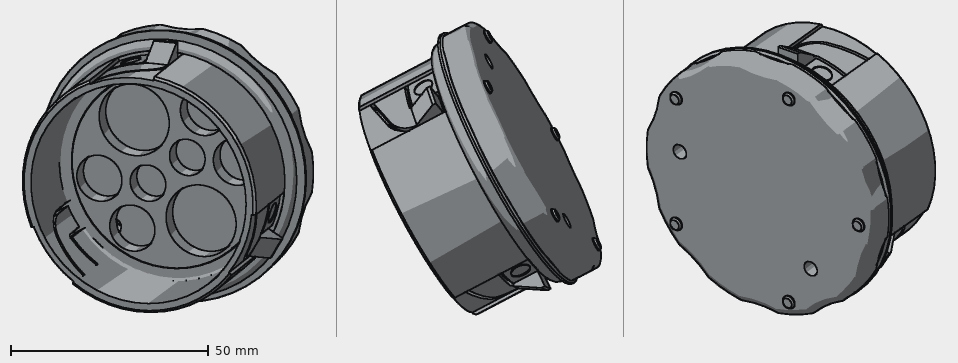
import cadquery as cq
import math

AXIS_START = (0, 0, 0)
AXIS_END = (0, 1, 0)
FULL_TURN = 360

TUBE_OUTER_RADIUS = 31.4
TUBE_INNER_RADIUS = 28.9
TUBE_END_CHAMFER = 0.65
SEAT_Y = 22.0
SEAT_FILLET = 0.7
FLANGE_Y = 25.7
FLANGE_RADIUS = 35.7
FLANGE_RIM = 0.65
FLANGE_TOP_RADIUS = 35.0
CAP_Y = 27.0

RING_SECTION_RADIUS = 1.8
RING_RADIUS = 32.1
RING_Y = FLANGE_Y - RING_SECTION_RADIUS

LATCH_COUNT = 3
RECESS_RADIUS = 30.5
RECESS_START_ANGLE = 82.5
RECESS_END_ANGLE = 115.1
SLOT_WIDTH = 0.9
SLOT_END_X = RECESS_RADIUS * math.cos(math.radians(RECESS_END_ANGLE))
HOOK_WIDTH = 6.1
HOOK_HALF_WIDTH = HOOK_WIDTH / 2
WINDOW_HALF_WIDTH = HOOK_HALF_WIDTH + SLOT_WIDTH
HOOK_BASE_Y = 13.6
HOOK_FLAT_Y = 20.05
HOOK_END_Y = 21.0
HOOK_TOP_Z = 34.4
HOOK_ROOT_Z = 29.3
STEP_SLOT_Y = 13.15
STEP_SLOT_FILLET = 0.85
BEND_START_Y = 14.0
BEND_RADIUS = 7.0
ARM_SLOPE = math.radians(16.4)
CUT_START_Z = 21.4
CUT_HEIGHT = 14.3
DIMPLE_X = -8.5
DIMPLE_Y = 18.05
DIMPLE_RADIUS = 2.6
DIMPLE_DEPTH = 0.3

DISC_RADIUS = 25.7
DISC_CLEARANCE = 0.15
LARGE_HOLE_RADIUS = 9.4
MEDIUM_HOLE_RADIUS = 6.1
SMALL_HOLE_RADIUS = 4.8
CABLE_HOLES = [
    (9.0, -12.4, LARGE_HOLE_RADIUS),
    (9.5, 16.2, MEDIUM_HOLE_RADIUS),
    (18.35, 3.9, MEDIUM_HOLE_RADIUS),
    (5.3, 3.9, SMALL_HOLE_RADIUS),
]

CAP_TOP_Y = 34.1
CAP_RADIUS = 35.5
CAP_TOP_FILLET = 2.0
FLUTE_COUNT = 10
FLUTE_HALF_ANGLE = 9.1
FLUTE_FLOOR_RADIUS = 34.5
FLUTE_EDGE_FILLET = 1.8
PIP_COUNT = 5
PIP_CIRCLE_RADIUS = 31.2
PIP_RADIUS = 1.8
PIP_TOP_Y = 35.0
PIP_CHAMFER_HEIGHT = 0.6
PIP_CHAMFER_WIDTH = 0.4
VENT_RADIUS = 2.0
VENTS = [(24.2, 3.0), (-16.3, -17.8)]


def turned(shape, angle):
    """Turn a shape about the part axis."""
    return shape.rotate(AXIS_START, AXIS_END, angle)


def cylinder(x, z, radius, start_y, end_y):
    """A cylinder parallel to the part axis."""
    return (
        cq.Workplane("XZ", origin=(x, end_y, z))
        .circle(radius)
        .extrude(end_y - start_y)
    )


def make_sealing_ring():
    return (
        cq.Workplane("XY")
        .center(RING_RADIUS, RING_Y)
        .circle(RING_SECTION_RADIUS)
        .revolve(FULL_TURN, (-RING_RADIUS, 0), (-RING_RADIUS, 1))
    )


def make_tube_shell():
    """Tube, inner seat and flange as one turned profile."""
    seat_inner_radius = DISC_RADIUS + DISC_CLEARANCE
    fillet_reach = SEAT_FILLET * math.sqrt(0.5)
    fillet_centre = (TUBE_INNER_RADIUS - SEAT_FILLET, SEAT_Y - SEAT_FILLET)
    return (
        cq.Workplane("XY")
        .moveTo(TUBE_INNER_RADIUS, 0)
        .lineTo(TUBE_OUTER_RADIUS - TUBE_END_CHAMFER, 0)
        .lineTo(TUBE_OUTER_RADIUS, TUBE_END_CHAMFER)
        .lineTo(TUBE_OUTER_RADIUS, FLANGE_Y)
        .lineTo(FLANGE_RADIUS, FLANGE_Y)
        .lineTo(FLANGE_RADIUS, FLANGE_Y + FLANGE_RIM)
        .lineTo(FLANGE_TOP_RADIUS, CAP_Y)
        .lineTo(seat_inner_radius, CAP_Y)
        .lineTo(seat_inner_radius, SEAT_Y)
        .lineTo(TUBE_INNER_RADIUS - SEAT_FILLET, SEAT_Y)
        .threePointArc(
            (fillet_centre[0] + fillet_reach, fillet_centre[1] + fillet_reach),
            (TUBE_INNER_RADIUS, SEAT_Y - SEAT_FILLET),
        )
        .close()
        .revolve(FULL_TURN, AXIS_START, AXIS_END)
    )


def make_latch_recess():
    """Shallow sector taken off the outside of the tube."""
    sector = (
        cq.Workplane("XY")
        .moveTo(RECESS_RADIUS, 0)
        .rect(TUBE_OUTER_RADIUS, SEAT_Y, centered=False)
        .revolve(RECESS_END_ANGLE - RECESS_START_ANGLE, AXIS_START, AXIS_END)
    )
    return turned(sector, -RECESS_END_ANGLE)


def box_cut(x_start, x_end, y_start, y_end):
    """Rectangular cut through the tube wall at the top latch."""
    return (
        cq.Workplane("XY", origin=(x_start, y_start, CUT_START_Z))
        .rect(x_end - x_start, y_end - y_start, centered=False)
        .extrude(CUT_HEIGHT)
    )


def make_arm_slot():
    """Slot along the hook that bends away into the sloping edge of the spring arm."""
    centre_x = HOOK_HALF_WIDTH - BEND_RADIUS
    outer_radius = BEND_RADIUS + SLOT_WIDTH
    mid_angle = ARM_SLOPE / 2 - math.pi / 4

    def on_bend(radius, angle):
        return (centre_x + radius * math.cos(angle), BEND_START_Y + radius * math.sin(angle))

    def at_slot_end(bend_end):
        return (SLOT_END_X, bend_end[1] - (bend_end[0] - SLOT_END_X) * math.tan(ARM_SLOPE))

    bend_angle = ARM_SLOPE - math.pi / 2
    inner_end = on_bend(BEND_RADIUS, bend_angle)
    outer_end = on_bend(outer_radius, bend_angle)
    return (
        cq.Workplane("XY", origin=(0, 0, CUT_START_Z))
        .moveTo(HOOK_HALF_WIDTH, SEAT_Y)
        .lineTo(HOOK_HALF_WIDTH, BEND_START_Y)
        .threePointArc(on_bend(BEND_RADIUS, mid_angle), inner_end)
        .lineTo(*at_slot_end(inner_end))
        .lineTo(*at_slot_end(outer_end))
        .lineTo(*outer_end)
        .threePointArc(on_bend(outer_radius, mid_angle), (WINDOW_HALF_WIDTH, BEND_START_Y))
        .lineTo(WINDOW_HALF_WIDTH, SEAT_Y)
        .close()
        .extrude(CUT_HEIGHT)
    )


def make_latch_cuts():
    """Openings that free the hook and its spring arm from the tube wall."""
    window = box_cut(-WINDOW_HALF_WIDTH, WINDOW_HALF_WIDTH, HOOK_END_Y, SEAT_Y)
    side_slot = box_cut(-WINDOW_HALF_WIDTH, -HOOK_HALF_WIDTH, STEP_SLOT_Y, SEAT_Y)
    step_slot = box_cut(SLOT_END_X, -HOOK_HALF_WIDTH, STEP_SLOT_Y, STEP_SLOT_Y + SLOT_WIDTH)
    corner = cq.selectors.NearestToPointSelector(
        (-HOOK_HALF_WIDTH, STEP_SLOT_Y, CUT_START_Z + CUT_HEIGHT / 2)
    )
    step = side_slot.union(step_slot).edges(corner).fillet(STEP_SLOT_FILLET)
    return window.union(step).union(make_arm_slot())


def make_dimple():
    """Shallow round dimple whose floor follows the recess."""
    post = (
        cq.Workplane("XY", origin=(DIMPLE_X, DIMPLE_Y, CUT_START_Z))
        .circle(DIMPLE_RADIUS)
        .extrude(CUT_HEIGHT)
    )
    return post.cut(cylinder(0, 0, RECESS_RADIUS - DIMPLE_DEPTH, 0, SEAT_Y))


def make_hook():
    """Wedge that snaps behind the panel."""
    return (
        cq.Workplane("YZ")
        .polyline([
            (HOOK_BASE_Y, HOOK_ROOT_Z),
            (HOOK_BASE_Y, RECESS_RADIUS),
            (HOOK_FLAT_Y, HOOK_TOP_Z),
            (HOOK_END_Y, HOOK_TOP_Z),
            (HOOK_END_Y, HOOK_ROOT_Z),
        ])
        .close()
        .extrude(HOOK_HALF_WIDTH, both=True)
    )


def make_tube(sealing_ring):
    tube = make_tube_shell().cut(sealing_ring)
    recess = make_latch_recess()
    cuts = make_latch_cuts()
    dimple = make_dimple()
    hook = make_hook()
    for index in range(LATCH_COUNT):
        angle = index * FULL_TURN / LATCH_COUNT
        tube = tube.cut(turned(recess, angle))
        tube = tube.cut(turned(cuts, angle)).cut(turned(dimple, angle))
        tube = tube.union(turned(hook, angle))
    return tube


def make_disc():
    disc = cylinder(0, 0, DISC_RADIUS, SEAT_Y, CAP_Y)
    for x, z, radius in CABLE_HOLES:
        for side in (1, -1):
            disc = disc.cut(cylinder(side * x, side * z, radius, SEAT_Y, CAP_Y))
    return disc


def make_flute_blank():
    """Cap body: rounded lobes alternating with shallow concave flutes."""
    def rim_point(radius, angle):
        return (radius * math.cos(math.radians(angle)), radius * math.sin(math.radians(angle)))

    pitch = FULL_TURN / FLUTE_COUNT
    outline = cq.Workplane("XZ", origin=(0, CAP_TOP_Y, 0))
    outline = outline.moveTo(*rim_point(CAP_RADIUS, FLUTE_HALF_ANGLE - pitch / 2))
    for index in range(FLUTE_COUNT):
        lobe_angle = index * pitch
        flute_angle = lobe_angle + pitch / 2
        outline = outline.threePointArc(
            rim_point(CAP_RADIUS, lobe_angle),
            rim_point(CAP_RADIUS, flute_angle - FLUTE_HALF_ANGLE),
        )
        outline = outline.threePointArc(
            rim_point(FLUTE_FLOOR_RADIUS, flute_angle),
            rim_point(CAP_RADIUS, flute_angle + FLUTE_HALF_ANGLE),
        )
    blank = outline.close().extrude(CAP_TOP_Y - CAP_Y)
    blank = blank.edges("|Y").fillet(FLUTE_EDGE_FILLET)
    return blank.faces(">Y").edges().fillet(CAP_TOP_FILLET)


def make_pip():
    """Round grip pip with a bevelled top."""
    return (
        cq.Workplane("XY")
        .moveTo(0, CAP_Y)
        .lineTo(PIP_RADIUS, CAP_Y)
        .lineTo(PIP_RADIUS, PIP_TOP_Y - PIP_CHAMFER_HEIGHT)
        .lineTo(PIP_RADIUS - PIP_CHAMFER_WIDTH, PIP_TOP_Y)
        .lineTo(0, PIP_TOP_Y)
        .close()
        .revolve(FULL_TURN, AXIS_START, AXIS_END)
        .translate((-PIP_CIRCLE_RADIUS, 0, 0))
    )


def make_cap():
    cap = make_flute_blank()
    pip = make_pip()
    for index in range(PIP_COUNT):
        cap = cap.union(turned(pip, index * FULL_TURN / PIP_COUNT))
    for x, z in VENTS:
        cap = cap.cut(cylinder(x, z, VENT_RADIUS, CAP_Y, CAP_TOP_Y))
    return cap


sealing_ring = make_sealing_ring()
tube = make_tube(sealing_ring)
disc = make_disc()
cap = make_cap()

result = cq.Compound.makeCompound([sealing_ring.val(), tube.val(), disc.val(), cap.val()])